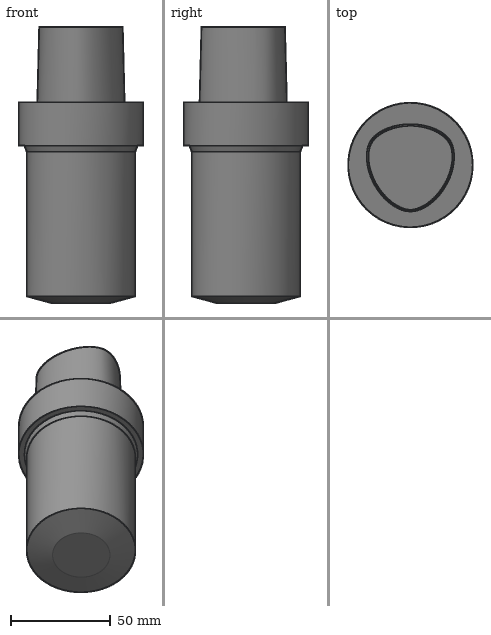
import cadquery as cq
import math

total_length = 139.6
flange_diameter = 63.0
flange_height = 22.0

shank_length = 38.0
shank_base_width = 44.2
shank_taper = 1 / 20
shank_tip_width = shank_base_width - shank_length * shank_taper
lobe_height = 1.4
lobe_count = 3
lobe_direction = -math.pi / 2
outline_steps = 36

body_diameter = 55.0
neck_height = 3.0
neck_diameter = 57.2
end_face_diameter = 29.0
end_cone_angle = math.radians(15)
end_cone_height = (body_diameter - end_face_diameter) / 2 * math.tan(end_cone_angle)

flange_top_z = 0.0
flange_bottom_z = flange_top_z - flange_height
neck_bottom_z = flange_bottom_z - neck_height
bottom_z = shank_length - total_length
end_cone_top_z = bottom_z + end_cone_height


def lobed_outline_point(width, turn):
    """Point of the constant-width outline whose outward normal is at the given turn."""
    angle = lobe_direction + 2 * math.pi * turn
    lobe_phase = lobe_count * 2 * math.pi * turn
    distance = width / 2 + lobe_height * math.cos(lobe_phase)
    slope = -lobe_count * lobe_height * math.sin(lobe_phase)
    x = distance * math.cos(angle) - slope * math.sin(angle)
    y = distance * math.sin(angle) + slope * math.cos(angle)
    return x, y


def lobed_outline(workplane, width):
    """Closed smooth lobed curve drawn on the workplane."""
    points = [lobed_outline_point(width, step / outline_steps) for step in range(outline_steps)]
    return workplane.spline(points, periodic=True).close()


def make_shank():
    """Lobed shank, narrowing evenly from the flange to its tip."""
    base = lobed_outline(cq.Workplane("XY").workplane(offset=flange_top_z), shank_base_width)
    tip_plane = base.workplane(offset=shank_length)
    return lobed_outline(tip_plane, shank_tip_width).loft(ruled=True)


def make_body():
    """Flange, conical neck, cylinder and conical end, turned about Z."""
    half_profile = (
        cq.Workplane("XZ")
        .moveTo(0, flange_top_z)
        .lineTo(flange_diameter / 2, flange_top_z)
        .lineTo(flange_diameter / 2, flange_bottom_z)
        .lineTo(neck_diameter / 2, flange_bottom_z)
        .lineTo(body_diameter / 2, neck_bottom_z)
        .lineTo(body_diameter / 2, end_cone_top_z)
        .lineTo(end_face_diameter / 2, bottom_z)
        .lineTo(0, bottom_z)
        .close()
    )
    return half_profile.revolve(360, (0, 0, 0), (0, 1, 0))


result = make_body().union(make_shank())